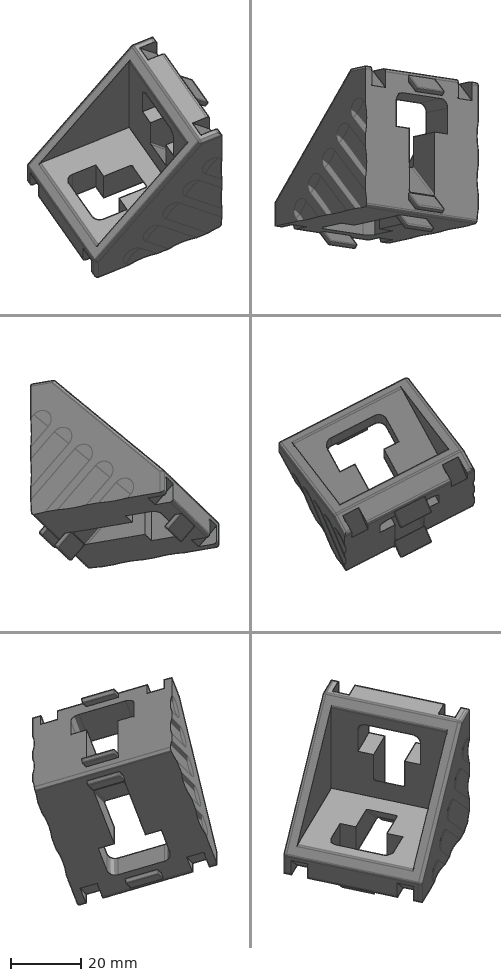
import cadquery as cq
import math


width = 42.0
leg = 41.0
end_height = 7.0
edge_radius = 1.0

wall = 9.5
cavity_width = 35.1
rim_radius = 1.0

opening_start = 15.6
opening_step = 24.65
opening_end = 34.65
stem_width = 9.4
head_width = 19.0
stem_radius = 0.45
head_radius = 2.5
overcut = 0.45

notch_leg = 5.6
notch_width = 5.1
ear_width = 2.4

tab_width = 9.9
tab_thickness = 1.55
tab_reach = 4.1
tab_root = 0.45
tab_edge_radius = 0.23
inner_tab_start = 3.7
inner_tip_radius = 0.45
outer_tab_start = 37.85
outer_tip_radius = 0.25

groove_count = 5
groove_pitch = 9.02
groove_middle = 15.95
groove_half_width = 3.15
groove_depth = 0.5
groove_length = 31.6

mirror_normal = cq.Vector(0, 1, 1)
groove_axis = cq.Vector(0, 1, -1).normalized()
slope_sum = leg + end_height


def prism(points, length):
    """Extrude a (y, z) outline symmetrically along X."""
    return cq.Workplane("YZ").polyline(points).close().extrude(length / 2, both=True)


def on_both_legs(feature):
    return feature.union(feature.mirror(mirror_normal))


def make_body():
    outline = [
        (0, 0),
        (-leg, 0),
        (-leg, end_height),
        (-end_height, leg),
        (0, leg),
    ]
    body = prism(outline, width)
    rounded = body.edges("|X")
    for face in ("<Y", ">(0,-1,1)", ">Z"):
        rounded = rounded.add(body.faces(face).edges("not |X"))
    return rounded.fillet(edge_radius)


def cut_cavity(body):
    """Cut the triangular pocket and round its rim where the legs meet the slope."""
    far = slope_sum - wall
    hollow = body.cut(prism([(-wall, wall), (-far, wall), (-wall, far)], cavity_width))
    rim = hollow.edges(cq.NearestToPointSelector((0, -wall, far)))
    rim = rim.add(hollow.edges(cq.NearestToPointSelector((0, -far, wall))))
    return rim.fillet(rim_radius)


def make_opening():
    """T-shaped cutter through the upright; the stem floor falls outward at 45 degrees."""
    inner = -wall - overcut
    outer = overcut
    floor_sum = opening_start - wall
    stem_outline = [
        (inner, floor_sum - inner),
        (outer, floor_sum - outer),
        (outer, opening_step),
        (inner, opening_step),
    ]
    head_outline = [
        (inner, opening_step),
        (outer, opening_step),
        (outer, opening_end),
        (inner, opening_end),
    ]
    stem = prism(stem_outline, stem_width).edges("|(0,1,-1)").fillet(stem_radius)
    head = prism(head_outline, head_width).faces(">Z").edges("|Y").fillet(head_radius)
    return stem.union(head)


def make_notches():
    """Triangular cutters beside the two ears at the top of the upright."""
    outline = [(0, leg), (-notch_leg, leg), (0, leg - notch_leg)]
    offset = width / 2 - ear_width - notch_width / 2
    notch = prism(outline, notch_width)
    return notch.translate((-offset, 0, 0)).union(notch.translate((offset, 0, 0)))


def make_tab(start, tip_radius):
    """Tab that leaves the upright at height `start` and slants down and back."""
    top = start + tab_thickness * math.sqrt(2)
    tip_y = tab_reach + tip_radius * (math.sqrt(2) - 1)
    tip_z = top - tip_y
    end_step = tab_thickness / math.sqrt(2)
    outline = [
        (-tab_root, start + tab_root),
        (-tab_root, top + tab_root),
        (tip_y, tip_z),
        (tip_y - end_step, tip_z - end_step),
    ]
    tab = prism(outline, tab_width)
    tab = tab.faces(">(0,1,-1)").edges().fillet(tip_radius)
    return tab.edges("|(0,1,-1)").fillet(tab_edge_radius)


def make_groove(side, offset):
    """Shallow round-bottomed cutter with a spherical inner end, shifted along the slope."""
    radius = (groove_half_width**2 + groove_depth**2) / (2 * groove_depth)
    axis_x = side * (width / 2 - groove_depth + radius)
    start_y = -groove_middle - offset / math.sqrt(2)
    start_z = groove_middle - offset / math.sqrt(2)
    start = cq.Vector(axis_x, start_y, start_z)
    run = cq.Workplane(cq.Solid.makeCylinder(radius, groove_length, start, groove_axis))
    cap = cq.Workplane().sphere(radius).translate(start)
    return run.union(cap)


result = cut_cavity(make_body())
result = result.cut(on_both_legs(make_opening()))
result = result.cut(on_both_legs(make_notches()))
result = result.union(on_both_legs(make_tab(inner_tab_start, inner_tip_radius)))
result = result.union(on_both_legs(make_tab(outer_tab_start, outer_tip_radius)))

for side in (-1, 1):
    for index in range(groove_count):
        offset = (index - (groove_count - 1) / 2) * groove_pitch
        result = result.cut(make_groove(side, offset))